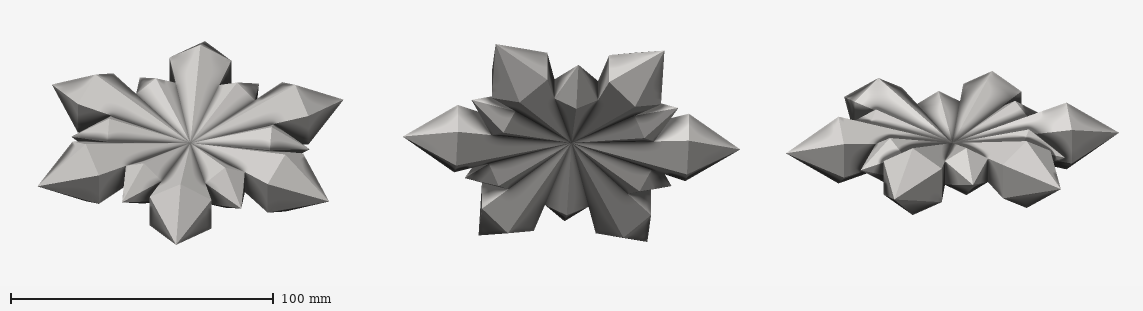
import cadquery as cq
import math

LARGE_TIP_RADIUS = 64.4
LARGE_WAIST_RADIUS = 44.0
SMALL_TIP_RADIUS = 45.6
SMALL_WAIST_RADIUS = 31.0
SPIKES_PER_RING = 6
SECTION_SIDES = 6

SPIKE_PITCH = 360 / SPIKES_PER_RING
SPIKE_HALF_ANGLE = math.radians(SPIKE_PITCH / 4)

CENTRE = (0, 0, 0)
Z_AXIS = (0, 0, 1)


def pyramid(base, apex):
    """Solid pyramid over a planar polygon."""
    faces = [cq.Face.makeFromWires(cq.Wire.makePolygon(base, close=True))]
    for start, end in zip(base, base[1:] + base[:1]):
        side = cq.Wire.makePolygon([start, end, apex], close=True)
        faces.append(cq.Face.makeFromWires(side))
    return cq.Solid.makeSolid(cq.Shell.makeShell(faces))


def spike(tip_radius, waist_radius):
    """Hexagonal double pyramid along +X, from the centre to its tip, with a ridge on top."""
    apothem = waist_radius * math.tan(SPIKE_HALF_ANGLE)
    corner_radius = apothem / math.cos(math.pi / SECTION_SIDES)
    waist = []
    for i in range(SECTION_SIDES):
        angle = 2 * math.pi * i / SECTION_SIDES
        y = corner_radius * math.sin(angle)
        z = corner_radius * math.cos(angle)
        waist.append(cq.Vector(waist_radius, y, z))
    inner = pyramid(waist, cq.Vector(CENTRE))
    outer = pyramid(waist, cq.Vector(tip_radius, 0, 0))
    return cq.Workplane(obj=inner).union(cq.Workplane(obj=outer))


def add_ring(body, ring_spike, first_angle):
    """Add evenly spaced copies of a spike around Z."""
    for i in range(SPIKES_PER_RING):
        angle = first_angle + i * SPIKE_PITCH
        body = body.union(ring_spike.rotate(CENTRE, Z_AXIS, angle))
    return body


large_spike = spike(LARGE_TIP_RADIUS, LARGE_WAIST_RADIUS)
small_spike = spike(SMALL_TIP_RADIUS, SMALL_WAIST_RADIUS)

large_star = add_ring(cq.Workplane(), large_spike, SPIKE_PITCH / 2)
full_star = add_ring(large_star, small_spike, 0)
result = full_star.solids()